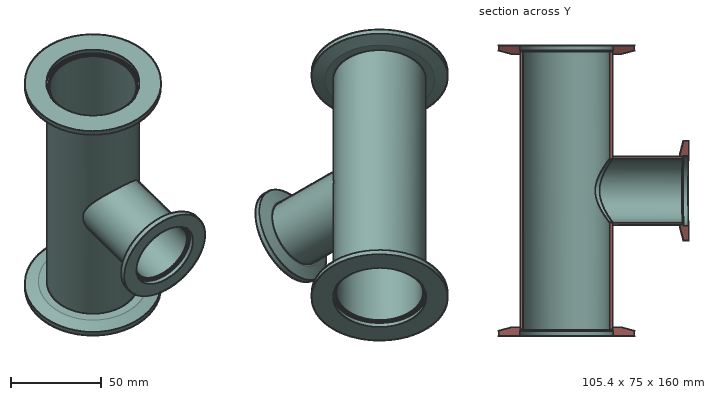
import cadquery as cq
import math


main_length = 160.0
branch_reach = 67.4
branch_turn = 1.0

main_tube_od = 51.0
main_tube_id = 47.7
main_flange_od = 75.0
main_hub_dia = 60.3
main_recess_dia = 51.2
main_lip_dia = 49.1

branch_tube_od = 38.0
branch_tube_id = 35.0
branch_flange_od = 55.0
branch_hub_dia = 40.0
branch_recess_dia = 38.4
branch_lip_dia = 36.3

rim_thickness = 3.0
clamp_angle = 15.0
recess_depth = 2.7
lip_thickness = 0.8
socket_start = recess_depth + lip_thickness
main_cone_run = (main_flange_od - main_hub_dia) / 2
flange_thickness = rim_thickness + main_cone_run * math.tan(math.radians(clamp_angle))


def make_flange(outer_dia, hub_dia, recess_dia, lip_dia, tube_dia):
    """Revolved flange whose outer face is on Z = 0 and whose tube socket faces -Z."""
    profile = [
        (recess_dia / 2, 0),
        (outer_dia / 2, 0),
        (outer_dia / 2, -rim_thickness),
        (hub_dia / 2, -flange_thickness),
        (tube_dia / 2, -flange_thickness),
        (tube_dia / 2, -socket_start),
        (lip_dia / 2, -socket_start),
        (lip_dia / 2, -recess_depth),
        (recess_dia / 2, -recess_depth),
    ]
    return cq.Workplane("XZ").polyline(profile).close().revolve(360, (0, 0), (0, 1))


def make_cylinder(diameter, length):
    """Cylinder along +Z that starts on Z = 0."""
    return cq.Workplane("XY").circle(diameter / 2).extrude(length)


def place_on_branch(body):
    """Turn a body from the Z axis onto the branch axis."""
    along_x = body.rotate((0, 0, 0), (0, 1, 0), 90)
    return along_x.rotate((0, 0, 0), (0, 0, 1), branch_turn)


main_tube_length = main_length - 2 * socket_start
branch_tube_end = branch_reach - socket_start

main_envelope = make_cylinder(main_tube_od, main_tube_length).translate((0, 0, -main_tube_length / 2))
main_bore = make_cylinder(main_tube_id, main_tube_length).translate((0, 0, -main_tube_length / 2))
branch_bore = place_on_branch(make_cylinder(branch_tube_id, branch_tube_end))
main_tube = main_envelope.cut(main_bore).cut(branch_bore)

branch_envelope = place_on_branch(make_cylinder(branch_tube_od, branch_tube_end))
branch_tube = branch_envelope.cut(branch_bore).cut(main_envelope)

main_flanges = []
for turn in (0, 180):
    flange = make_flange(main_flange_od, main_hub_dia, main_recess_dia, main_lip_dia, main_tube_od)
    flange = flange.translate((0, 0, main_length / 2))
    main_flanges.append(flange.rotate((0, 0, 0), (1, 0, 0), turn))

branch_flange = make_flange(branch_flange_od, branch_hub_dia, branch_recess_dia, branch_lip_dia, branch_tube_od)
branch_flange = place_on_branch(branch_flange.translate((0, 0, branch_reach)))

result = cq.Compound.makeCompound([
    main_tube.val(),
    branch_tube.val(),
    *[flange.val() for flange in main_flanges],
    branch_flange.val(),
])